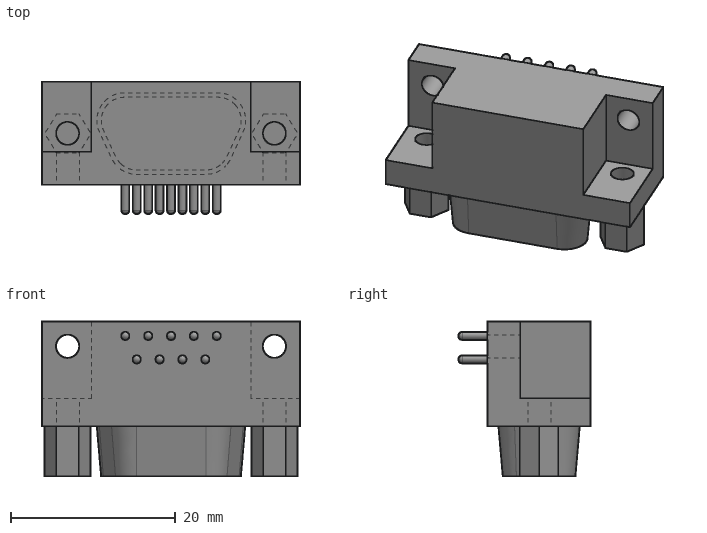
import cadquery as cq
import math


housing_width = 31.3
housing_depth = 12.52
housing_height = 12.7
shell_height = 6.07
housing_top = shell_height + housing_height
mid_depth = housing_depth / 2

core_width = 19.35
wall_thickness = 4.0
flange_thickness = 3.4

hole_diameter = 2.8
hole_spacing = 25.08
wall_hole_drop = 3.0

standoff_length_x = 5.6
standoff_flat_x = 2.72
standoff_across_flats = 4.7

narrow_centre_x = 4.2
wide_centre_x = 5.67
centre_half_depth = 1.6
corner_radius = 3.35
shell_draft_angle = 5.0

pin_diameter = 1.0
pin_length = 3.55
upper_row_count = 5
upper_row_length = 11.08
lower_row_count = 4
upper_row_drop = 1.75
row_spacing = 2.85
pin_pitch = upper_row_length / (upper_row_count - 1)


def make_housing():
    """Block with its two upper rear corners cut away."""
    on_base = (True, False, False)
    block = cq.Workplane("XY").box(housing_width, housing_depth, housing_height, centered=on_base)
    block = block.translate((0, 0, shell_height))
    notch_width = (housing_width - core_width) / 2
    flange_top = shell_height + flange_thickness
    notch_depth = housing_depth - wall_thickness
    notch_height = housing_top - flange_top
    notch_x = (core_width + notch_width) / 2
    for side in (-1, 1):
        notch = cq.Workplane("XY").box(notch_width, notch_depth, notch_height, centered=on_base)
        block = block.cut(notch.translate((side * notch_x, wall_thickness, flange_top)))
    return block


def make_wall_hole(x):
    """Cutter for a board mounting hole through the wall, along Y."""
    return (
        cq.Workplane("XZ", origin=(x, 0, housing_top - wall_hole_drop))
        .circle(hole_diameter / 2)
        .extrude(-wall_thickness)
    )


def make_flange_hole(x):
    """Cutter for a hole through the flange, along Z, closed below by the standoff."""
    return (
        cq.Workplane("XY", origin=(x, mid_depth, shell_height))
        .circle(hole_diameter / 2)
        .extrude(flange_thickness)
    )


def make_standoff(x):
    """Hexagonal standoff below the flange, with corners pointing along X."""
    tip = standoff_length_x / 2
    flat = standoff_flat_x / 2
    side = standoff_across_flats / 2
    corners = [(tip, 0), (flat, side), (-flat, side), (-tip, 0), (-flat, -side), (flat, -side)]
    return cq.Workplane("XY", origin=(x, mid_depth, 0)).polyline(corners).close().extrude(shell_height)


def make_shell():
    """D-shaped shell, widest at the housing, with its wide side towards +Y."""
    corner_centres = [
        (-narrow_centre_x, -centre_half_depth),
        (narrow_centre_x, -centre_half_depth),
        (wide_centre_x, centre_half_depth),
        (-wide_centre_x, centre_half_depth),
    ]
    outline = cq.Workplane("XY", origin=(0, mid_depth, shell_height)).polyline(corner_centres).close()
    return outline.offset2D(corner_radius, "arc").extrude(-shell_height, taper=shell_draft_angle)


def make_pin(x, z):
    """Round pin along -Y with a hemispherical tip."""
    radius = pin_diameter / 2
    shoulder_y = radius - pin_length
    arc_x = radius * math.sin(math.radians(45))
    arc_y = shoulder_y - radius * math.cos(math.radians(45))
    half_profile = (
        cq.Workplane("XY")
        .lineTo(radius, 0)
        .lineTo(radius, shoulder_y)
        .threePointArc((arc_x, arc_y), (0, -pin_length))
        .close()
    )
    return half_profile.revolve(360, (0, 0), (0, 1)).translate((x, 0, z))


result = make_housing().union(make_shell())

for x in (-hole_spacing / 2, hole_spacing / 2):
    result = result.cut(make_wall_hole(x)).cut(make_flange_hole(x)).union(make_standoff(x))

upper_row_z = housing_top - upper_row_drop
for count, z in ((upper_row_count, upper_row_z), (lower_row_count, upper_row_z - row_spacing)):
    for index in range(count):
        result = result.union(make_pin((index - (count - 1) / 2) * pin_pitch, z))